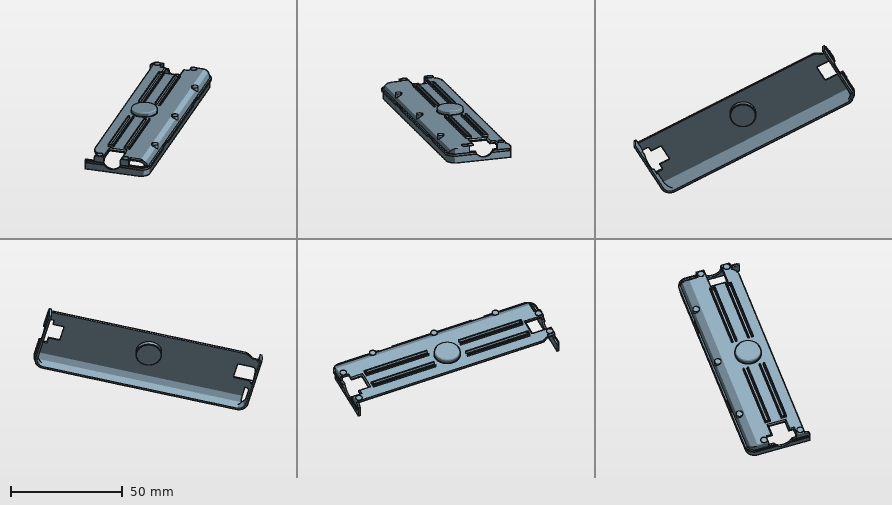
import cadquery as cq
import math

overall_x = 29.5
overall_y = 99.4
overall_z = 9.1

wall = 0.9
bead_depth = 0.5
shell_right = overall_x - bead_depth
shell_end = overall_y / 2 - bead_depth
plate_top = 7.3
plate_thickness = 1.2
plate_bottom = plate_top - plate_thickness
edge_radius = 4.6
inner_edge_radius = 4.0
corner_radius = 4.3
plate_left = 2.3
back_edge_radius = 0.6
inner_front_radius = 1.2
band_top = 4.6
margin = 1.0
outside = shell_end + margin

back_wall_left_top = 5.3
back_wall_arc_mid = (0.9, 6.3)
back_wall_right_top = 6.8

bead_bottom = 3.4
bead_top = 4.4
bead_corner_radius = 4.3
bead_start = 0.8
bead_gap_centre = 22.7
bead_gap_width = 6.4

button_x = 12.4
button_diameter = 11.6
button_bottom = 3.8
button_fillet = 0.6
button_bottom_chamfer = 0.3
collar_diameter = 12.0
collar_height = 0.2
arch_radius = 4.4
arch_bottom = 1.5

rail_spacing = 7.7
rail_width = 2.6
rail_wall = 0.4
rail_floor_width = 1.0
rail_height = 0.9
rail_inner_end = 7.8
rail_outer_end = 38.5

notch_left = 8.6
notch_right = 16.4
front_notch_end = -40.3
front_notch_side_chamfer = 0.3
front_notch_end_chamfer = 0.6
back_notch_end = 40.2
back_notch_chamfer = 0.6
wide_notch_left = 6.4
wide_notch_right = 19.4
wide_notch_end = 45.3
wide_notch_chamfer = 0.5
notch_corner = 0.5

tab_left = 4.2
tab_right = 20.4
slot_end = -46.7
slot_chamfer = 0.5
tab_chamfer = 0.6
left_cut_start = -41.7
left_cut_arc_mid = (2.5, -42.9)
left_cut_arc_end = (2.9, -43.7)
left_cut_end = -45.7

pin_diameter = 3.0
pin_top = 7.5
corner_pins = [(3.9, 47.2), (21.0, 47.2), (6.4, -47.6), (18.5, -47.6)]
edge_pin_x = 26.7
edge_pin_spacing = 30.1


def block(x0, x1, y0, y1, z0, z1):
    """Axis-aligned box given by its limits."""
    return cq.Workplane("XY").box(x1 - x0, y1 - y0, z1 - z0, centered=False).translate((x0, y0, z0))


def rounded_plan(left, right, end, radius, z0, z1):
    """Upright block, symmetric in Y, with its two right-hand corners rounded."""
    return block(left, right, -end, end, z0, z1).edges("|Z and >X").fillet(radius)


def shell():
    """Top plate with a rounded side wall and two end walls, open to the left and below."""
    outer = rounded_plan(0, shell_right, shell_end, corner_radius, 0, plate_top)
    outer_profile = (
        block(0, shell_right, -shell_end, shell_end, 0, plate_top)
        .edges("|Y and >X and >Z").fillet(edge_radius)
        .edges("|X and >Y and >Z").fillet(back_edge_radius)
    )
    return outer.intersect(outer_profile).cut(cavity())


def cavity():
    """Hollow inside the shell, with rounded upper edges along the side and the front."""
    right = shell_right - wall
    end = shell_end - wall
    plan = rounded_plan(-margin, right, end, corner_radius - wall, -margin, plate_bottom)
    side_profile = block(-margin, right, -end, end, -margin, plate_bottom)
    side_profile = side_profile.edges("|Y and >X and >Z").fillet(inner_edge_radius)
    end_profile = block(-margin, right, -end, end, -margin, plate_bottom)
    end_profile = end_profile.edges("|X and <Y and >Z").fillet(inner_front_radius)
    return plan.intersect(side_profile).intersect(end_profile)


def left_edge_cut():
    """Clears the plate left of its edge, and rounds the top of the left end of the back wall."""
    strip = block(-margin, plate_left, -shell_end, shell_end - wall,
                  plate_bottom - margin, plate_top + margin)
    wall_top = (
        cq.Workplane("XZ", origin=(0, outside, 0))
        .moveTo(-margin, plate_top + margin)
        .lineTo(-margin, back_wall_left_top)
        .lineTo(0, back_wall_left_top)
        .threePointArc(back_wall_arc_mid, (plate_left, back_wall_right_top))
        .lineTo(plate_left, plate_top + margin)
        .close()
        .extrude(wall + 2 * margin)
    )
    return strip.union(wall_top)


def front_left_cut():
    """Clears the front left corner above the band, leaving the tab."""
    return (
        cq.Workplane("XY", origin=(0, 0, band_top))
        .moveTo(-margin, -outside)
        .lineTo(tab_left, -outside)
        .lineTo(tab_left, left_cut_end)
        .lineTo(*left_cut_arc_end)
        .threePointArc(left_cut_arc_mid, (plate_left, left_cut_start))
        .lineTo(-margin, left_cut_start)
        .close()
        .extrude(plate_top)
    )


def rim_chamfer(x0, x1, y0, y1, left=0, right=0, front=0, back=0):
    """Wedge opening upward from the given rectangle, as deep as its widest chamfer."""
    depth = max(left, right, front, back)
    return (
        cq.Workplane("XY", origin=(0, 0, plate_top - depth))
        .polyline([(x0, y0), (x1, y0), (x1, y1), (x0, y1)]).close()
        .workplane(offset=depth)
        .polyline([(x0 - left, y0 - front), (x1 + right, y0 - front),
                   (x1 + right, y1 + back), (x0 - left, y1 + back)]).close()
        .loft(ruled=True)
    )


def notch(x0, x1, y0, y1):
    """Notch through the plate, down to the band."""
    return block(x0, x1, y0, y1, band_top, plate_top).edges("|Z").fillet(notch_corner)


def rail(x, direction):
    """Channel along Y, closed by a wall at the end away from the button."""
    length = rail_outer_end - rail_inner_end
    channel = block(x - rail_width / 2, x + rail_width / 2, 0, length, plate_bottom, plate_top + rail_height)
    floor_half = rail_floor_width / 2
    flare = rail_width / 2 - rail_wall - floor_half
    groove = (
        cq.Workplane("XY", origin=(x, 0, plate_top))
        .polyline([(-floor_half, -margin), (floor_half, -margin),
                   (floor_half, length - rail_wall - flare), (-floor_half, length - rail_wall - flare)])
        .close()
        .extrude(rail_height, taper=-math.degrees(math.atan(flare / rail_height)))
    )
    channel = channel.cut(groove).translate((0, rail_inner_end, 0))
    return channel if direction > 0 else channel.mirror("XZ")


def disc(x, y, diameter, bottom, top):
    """Upright cylinder between two heights."""
    return cq.Workplane("XY", origin=(x, y, bottom)).circle(diameter / 2).extrude(top - bottom)


def bead():
    """Raised bead around the walls, interrupted at the arches and twice along the side."""
    outer = rounded_plan(bead_start, overall_x, overall_y / 2, bead_corner_radius, bead_bottom, bead_top)
    inner = rounded_plan(bead_start - margin, shell_right - wall / 2, shell_end - wall / 2,
                         corner_radius - wall / 2, bead_bottom, bead_top)
    ring = outer.cut(inner)
    for side in (-1, 1):
        y = side * bead_gap_centre
        ring = ring.cut(block(shell_right, overall_x, y - bead_gap_width / 2, y + bead_gap_width / 2,
                              bead_bottom, bead_top))
    return ring


def button():
    """Round button through the plate, with a thin collar on the plate's upper face."""
    body = disc(button_x, 0, button_diameter, button_bottom, overall_z)
    body = body.faces(">Z").edges().fillet(button_fillet)
    body = body.faces("<Z").edges().chamfer(button_bottom_chamfer)
    return body.union(disc(button_x, 0, collar_diameter, plate_bottom, plate_top + collar_height))


def arches():
    """Round cut-outs in both end walls, up to the top of the band."""
    bore = (
        cq.Workplane("XZ", origin=(button_x, outside, arch_bottom + arch_radius))
        .circle(arch_radius)
        .extrude(2 * outside)
    )
    bore = bore.intersect(block(0, overall_x, -outside, outside, 0, band_top))
    inside = shell_end - 2 * wall
    return bore.cut(block(0, overall_x, -inside, inside, 0, band_top))


body = shell().union(bead())
body = body.cut(left_edge_cut()).cut(front_left_cut())
body = body.cut(rim_chamfer(-margin, tab_left, -outside, left_cut_end, right=tab_chamfer))

body = body.cut(block(tab_right, overall_x, -outside, slot_end, band_top, plate_top))
body = body.cut(rim_chamfer(tab_right, overall_x, -outside, slot_end, back=slot_chamfer))

body = body.cut(notch(notch_left, notch_right, -outside, front_notch_end))
body = body.cut(rim_chamfer(notch_left, notch_right, -outside, front_notch_end, left=front_notch_side_chamfer,
                            right=front_notch_side_chamfer, back=front_notch_end_chamfer))

body = body.cut(notch(notch_left, notch_right, back_notch_end, outside))
body = body.cut(rim_chamfer(notch_left, notch_right, back_notch_end, outside, left=back_notch_chamfer,
                            right=back_notch_chamfer, front=back_notch_chamfer))
body = body.cut(notch(wide_notch_left, wide_notch_right, wide_notch_end, outside))
body = body.cut(rim_chamfer(wide_notch_left, button_x, wide_notch_end, outside,
                            left=wide_notch_chamfer, front=wide_notch_chamfer))
body = body.cut(arches())

for x in (button_x - rail_spacing / 2, button_x + rail_spacing / 2):
    for direction in (-1, 1):
        body = body.union(rail(x, direction))
for x, y in corner_pins:
    body = body.union(disc(x, y, pin_diameter, plate_bottom, pin_top))
for y in (-edge_pin_spacing, 0, edge_pin_spacing):
    edge_pin = disc(edge_pin_x, y, pin_diameter, band_top, pin_top)
    body = body.union(edge_pin.cut(cavity()))
result = body.union(button())